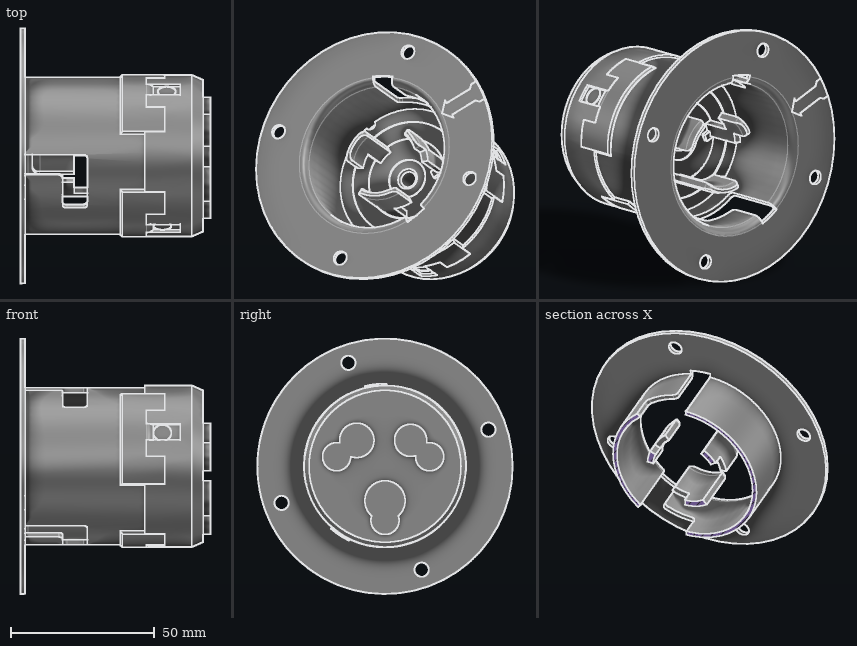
import cadquery as cq
import math


FLANGE_DIAMETER = 88.75
FLANGE_THICKNESS = 1.6
TUBE_DIAMETER = 54.59
TUBE_BORE_RADIUS = 25.6
LIP_FILLET = 2.6
MOUNT_HOLE_COUNT = 4
MOUNT_HOLE_DIAMETER = 4.85
MOUNT_HOLE_RADIUS = 38.1
MOUNT_HOLE_ANGLE = 19.5

CAP_START = 43.1
CAP_TAPER_START = 59.5
CAP_END = 63.4
CAP_RADIUS = 28.1
CAP_END_RADIUS = 26.4
PART_LENGTH = 66.0
TERMINAL_LOBES = [
    (8.9, 9.0, 5.6),
    (15.5, 3.3, 4.9),
    (-9.8, 9.0, 6.0),
    (-16.8, 3.3, 4.9),
    (0.0, -12.0, 7.0),
    (0.0, -18.8, 4.9),
]

PAD_COUNT = 3
PAD_ANGLE = 34.6
PAD_HALF_SPAN = 39.5
PAD_START = 34.6
PAD_END = 50.1
PAD_RADIUS = 28.2
PAD_BEVEL = 0.8
NOTCH_START = 43.7
NOTCH_HALF_SPAN = 18.4
LATCH_HALF_SPAN = 6.4
LATCH_END = 55.4
LATCH_RAMP_END = 46.1
LATCH_FLOOR_RADIUS = 27.2
DIMPLE_DIAMETER = 6.2
DIMPLE_STATIONS = [50.8, 49.3, 49.3]
DIMPLE_DEPTH = 0.3

SLOT_START_ANGLES = [89.1, 229.1]
SLOT_END = 23.2
SLOT_LEG_START = 14.6
SLOT_ENTRY_SPAN = 15.0
SLOT_LEG_SPAN = 42.4
SLOT_OUTER_RADIUS = 28.65
SLOT_CORNER_FILLET = 1.4

INSERT_FACE = 30.0
INSERT_RADIUS = 25.1
INSERT_GAP_DEPTH = 3.0
FACE_STEP = 0.5
FACE_RING_OUTER_RADIUS = 20.5
FACE_RING_INNER_RADIUS = 14.4
CENTRE_RECESS_RADIUS = 6.8
CENTRE_HOLE_RADIUS = 2.75
CENTRE_HOLE_DEPTH = 12.0
CENTRE_HOLE_CHAMFER = 0.85
RIM_NOTCH_RADIUS = 1.9
RIM_NOTCH_DEPTH = 3.0
RIM_NOTCH_CENTRE_RADIUS = 25.4
RIM_NOTCH_ANGLES = [57.0, 222.6]

BLADE_HEAD_END = 18.6
BLADE_NECK_OVERLAP = 4.0
BLADE_INNER_RADIUS = 11.9
BLADE_OUTER_RADIUS = 14.2
BLADE_TIP_FILLET = 2.5
BLADE_BEVEL_LENGTH = 2.6
BLADE_BEVEL_DEPTH = 0.6
BLADES = [
    (7.0, (9.0, 59.0), (34.0, 59.0)),
    (7.0, (130.0, 161.5), (157.0, 178.5)),
    (4.1, (243.0, 306.0), (270.0, 306.0)),
]

TOE_LENGTH = 4.05
TOE_WIDTH = 2.5
TOE_START = 28.5
TOE_CENTRE = (-11.85, 0.7)
TOE_ANGLE = 154.3

ARROW_ANGLE = PAD_ANGLE + 360 / PAD_COUNT
ARROW_DEPTH = 0.15
ARROW_TIP_RADIUS = 28.3
ARROW_HEAD_RADIUS = 31.3
ARROW_HEAD_HALF_WIDTH = 3.7
ARROW_SHAFT_HALF_WIDTH = 2.45
ARROW_SHAFT_END_RADIUS = 41.0
ARROW_FLARE_RADIUS = 42.2

CUT_MARGIN = 1.0


def polar(radius, angle):
    """Return the (y, z) point at a radius and angle about X."""
    turn = math.radians(angle)
    return radius * math.cos(turn), radius * math.sin(turn)


def turned_about_axis(solid, angle):
    return solid.rotate((0, 0, 0), (1, 0, 0), angle)


def disc(x_start, x_end, radius):
    return cq.Workplane("YZ", origin=(x_start, 0, 0)).circle(radius).extrude(x_end - x_start)


def sector(x_start, x_end, inner, outer, angle_start, angle_end):
    """Annular sector about X between two stations, radii and angles."""
    middle = (angle_start + angle_end) / 2
    return (
        cq.Workplane("YZ", origin=(x_start, 0, 0))
        .moveTo(*polar(inner, angle_start))
        .lineTo(*polar(outer, angle_start))
        .threePointArc(polar(outer, middle), polar(outer, angle_end))
        .lineTo(*polar(inner, angle_end))
        .threePointArc(polar(inner, middle), polar(inner, angle_start))
        .close()
        .extrude(x_end - x_start)
    )


def make_body():
    """Flange, tube, insert and cap revolved as one profile."""
    tube_radius = TUBE_DIAMETER / 2
    fillet_middle = LIP_FILLET * (1 - math.sqrt(0.5))
    return (
        cq.Workplane("XY")
        .moveTo(INSERT_FACE, 0)
        .lineTo(INSERT_FACE, TUBE_BORE_RADIUS)
        .lineTo(LIP_FILLET, TUBE_BORE_RADIUS)
        .threePointArc(
            (fillet_middle, TUBE_BORE_RADIUS + fillet_middle),
            (0, TUBE_BORE_RADIUS + LIP_FILLET),
        )
        .lineTo(0, FLANGE_DIAMETER / 2)
        .lineTo(FLANGE_THICKNESS, FLANGE_DIAMETER / 2)
        .lineTo(FLANGE_THICKNESS, tube_radius)
        .lineTo(CAP_START, tube_radius)
        .lineTo(CAP_START, CAP_RADIUS)
        .lineTo(CAP_TAPER_START, CAP_RADIUS)
        .lineTo(CAP_END, CAP_END_RADIUS)
        .lineTo(CAP_END, 0)
        .close()
        .revolve(360, (0, 0, 0), (1, 0, 0))
    )


def add_terminal_bosses(body):
    for y, z, radius in TERMINAL_LOBES:
        lobe = disc(CAP_END - CUT_MARGIN, PART_LENGTH, radius).translate((0, y, z))
        body = body.union(lobe)
    return body


def cut_mount_holes(body):
    for index in range(MOUNT_HOLE_COUNT):
        y, z = polar(MOUNT_HOLE_RADIUS, MOUNT_HOLE_ANGLE + index * 360 / MOUNT_HOLE_COUNT)
        hole = disc(-CUT_MARGIN, FLANGE_THICKNESS + CUT_MARGIN, MOUNT_HOLE_DIAMETER / 2)
        body = body.cut(hole.translate((0, y, z)))
    return body


def make_pad():
    """Clamp pad centred on +Y, bevelled at front and sides.

    Its rear edge is notched, with a short strip left in the notch for the latch ramp.
    """
    root = TUBE_BORE_RADIUS
    pad = sector(PAD_START, PAD_END, root, PAD_RADIUS, -PAD_HALF_SPAN, PAD_HALF_SPAN)
    outer_face = pad.faces("%CYLINDER").faces(">Y")
    pad = outer_face.edges("not >X").chamfer(PAD_BEVEL)
    notch = sector(
        NOTCH_START, PAD_END, root, PAD_RADIUS + CUT_MARGIN, -NOTCH_HALF_SPAN, NOTCH_HALF_SPAN
    )
    ramp_strip = sector(
        NOTCH_START,
        LATCH_RAMP_END,
        root,
        PAD_RADIUS + CUT_MARGIN,
        -LATCH_HALF_SPAN,
        LATCH_HALF_SPAN,
    )
    return pad.cut(notch.cut(ramp_strip))


def make_latch_pocket(dimple_x):
    """Pocket in the cap on +Y: a rounded ramp, a curved floor and a shallow round dimple."""
    top = PAD_RADIUS + CUT_MARGIN
    drop = PAD_RADIUS - LATCH_FLOOR_RADIUS
    ramp_length = LATCH_RAMP_END - NOTCH_START
    ramp_radius = (ramp_length**2 + drop**2) / (2 * drop)
    half_turn = math.asin(ramp_length / ramp_radius) / 2
    ramp_middle = (
        NOTCH_START + ramp_radius * math.sin(half_turn),
        PAD_RADIUS - ramp_radius * (1 - math.cos(half_turn)),
    )
    pocket = (
        cq.Workplane("XY")
        .moveTo(NOTCH_START, top)
        .lineTo(NOTCH_START, PAD_RADIUS)
        .threePointArc(ramp_middle, (LATCH_RAMP_END, LATCH_FLOOR_RADIUS))
        .lineTo(LATCH_END, LATCH_FLOOR_RADIUS)
        .lineTo(LATCH_END, top)
        .close()
        .revolve(2 * LATCH_HALF_SPAN, (0, 0, 0), (1, 0, 0))
    )
    dimple = (
        cq.Workplane("XZ", origin=(dimple_x, LATCH_FLOOR_RADIUS, 0))
        .circle(DIMPLE_DIAMETER / 2)
        .extrude(DIMPLE_DEPTH)
    )
    return turned_about_axis(pocket, -LATCH_HALF_SPAN).union(dimple)


def add_pads(body):
    for index, dimple_x in enumerate(DIMPLE_STATIONS):
        angle = PAD_ANGLE + index * 360 / PAD_COUNT
        body = body.union(turned_about_axis(make_pad(), angle))
        body = body.cut(turned_about_axis(make_latch_pocket(dimple_x), angle))
    return body


def cut_bayonet_slots(body):
    inner = TUBE_BORE_RADIUS - CUT_MARGIN
    for start in SLOT_START_ANGLES:
        entry = sector(
            -CUT_MARGIN, SLOT_END, inner, SLOT_OUTER_RADIUS, start, start + SLOT_ENTRY_SPAN
        )
        leg = sector(
            SLOT_LEG_START, SLOT_END, inner, SLOT_OUTER_RADIUS, start, start + SLOT_LEG_SPAN
        )
        slot = entry.union(leg).clean()
        slot = slot.edges("%LINE and (not |X) and (not <X)").fillet(SLOT_CORNER_FILLET)
        body = body.cut(slot)
    return body


def cut_insert_face(body):
    """Sunken ring, centre recess, chamfered hole, gap around the insert and rim notches."""
    ring = disc(INSERT_FACE, INSERT_FACE + FACE_STEP, FACE_RING_OUTER_RADIUS).cut(
        disc(INSERT_FACE, INSERT_FACE + FACE_STEP, FACE_RING_INNER_RADIUS)
    )
    floor = INSERT_FACE + FACE_STEP
    recess = disc(INSERT_FACE, floor, CENTRE_RECESS_RADIUS)
    hole = (
        cq.Workplane("XY")
        .moveTo(floor, 0)
        .lineTo(floor, CENTRE_HOLE_RADIUS + CENTRE_HOLE_CHAMFER)
        .lineTo(floor + CENTRE_HOLE_CHAMFER, CENTRE_HOLE_RADIUS)
        .lineTo(floor + CENTRE_HOLE_DEPTH, CENTRE_HOLE_RADIUS)
        .lineTo(floor + CENTRE_HOLE_DEPTH, 0)
        .close()
        .revolve(360, (0, 0, 0), (1, 0, 0))
    )
    gap = disc(INSERT_FACE, INSERT_FACE + INSERT_GAP_DEPTH, TUBE_BORE_RADIUS).cut(
        disc(INSERT_FACE, INSERT_FACE + INSERT_GAP_DEPTH, INSERT_RADIUS)
    )
    body = body.cut(ring).cut(recess).cut(hole).cut(gap)
    for angle in RIM_NOTCH_ANGLES:
        y, z = polar(RIM_NOTCH_CENTRE_RADIUS, angle)
        notch = disc(INSERT_FACE, INSERT_FACE + RIM_NOTCH_DEPTH, RIM_NOTCH_RADIUS)
        notch = notch.translate((0, y, z)).intersect(
            disc(INSERT_FACE, INSERT_FACE + RIM_NOTCH_DEPTH, TUBE_BORE_RADIUS)
        )
        body = body.cut(notch)
    return body


def make_bevel_ring(tip):
    """Ring about X with both front edges bevelled, which shapes a blade tip."""
    bevel_end = tip + BLADE_BEVEL_LENGTH
    return (
        cq.Workplane("XY")
        .moveTo(tip, BLADE_INNER_RADIUS + BLADE_BEVEL_DEPTH)
        .lineTo(tip, BLADE_OUTER_RADIUS - BLADE_BEVEL_DEPTH)
        .lineTo(bevel_end, BLADE_OUTER_RADIUS)
        .lineTo(BLADE_HEAD_END, BLADE_OUTER_RADIUS)
        .lineTo(BLADE_HEAD_END, BLADE_INNER_RADIUS)
        .lineTo(bevel_end, BLADE_INNER_RADIUS)
        .close()
        .revolve(360, (0, 0, 0), (1, 0, 0))
    )


def make_blade(tip, head_span, neck_span):
    head = sector(tip, BLADE_HEAD_END, BLADE_INNER_RADIUS, BLADE_OUTER_RADIUS, *head_span)
    head = head.faces("<X").edges("%LINE").fillet(BLADE_TIP_FILLET)
    head = head.intersect(make_bevel_ring(tip))
    neck = sector(
        BLADE_HEAD_END - BLADE_NECK_OVERLAP,
        INSERT_FACE + CUT_MARGIN,
        BLADE_INNER_RADIUS,
        BLADE_OUTER_RADIUS,
        *neck_span,
    )
    return head.union(neck)


def make_toe():
    y, z = TOE_CENTRE
    length_along_x = INSERT_FACE + CUT_MARGIN - TOE_START
    toe = cq.Workplane("YZ").rect(TOE_LENGTH, TOE_WIDTH).extrude(length_along_x)
    return turned_about_axis(toe, TOE_ANGLE).translate((TOE_START, y, z))


def add_blades(body):
    for blade in BLADES:
        body = body.union(make_blade(*blade))
    return body.union(make_toe())


def cut_arrow(body):
    outer = FLANGE_DIAMETER / 2 + CUT_MARGIN
    upper_side = [
        (ARROW_HEAD_RADIUS, ARROW_HEAD_HALF_WIDTH),
        (ARROW_HEAD_RADIUS, ARROW_SHAFT_HALF_WIDTH),
        (ARROW_SHAFT_END_RADIUS, ARROW_SHAFT_HALF_WIDTH),
        (ARROW_FLARE_RADIUS, ARROW_HEAD_HALF_WIDTH),
        (outer, ARROW_HEAD_HALF_WIDTH),
    ]
    lower_side = [(radius, -width) for radius, width in reversed(upper_side)]
    arrow = (
        cq.Workplane("YZ")
        .polyline([(ARROW_TIP_RADIUS, 0)] + upper_side + lower_side)
        .close()
        .extrude(ARROW_DEPTH)
    )
    return body.cut(turned_about_axis(arrow, ARROW_ANGLE))


body = make_body()
body = add_terminal_bosses(body)
body = cut_mount_holes(body)
body = add_pads(body)
body = cut_bayonet_slots(body)
body = cut_insert_face(body)
body = add_blades(body)
result = cut_arrow(body)